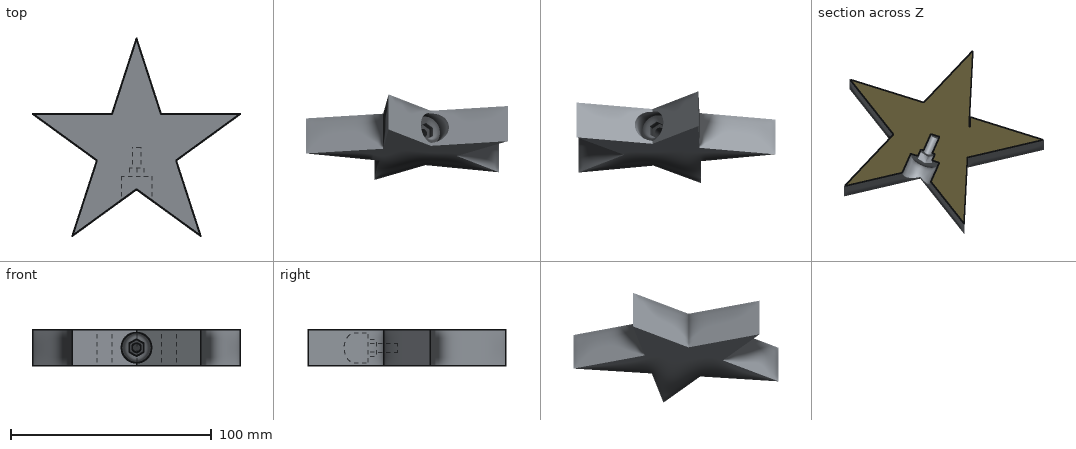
import cadquery as cq
import math

star_width = 103.6
thickness = 18.0
points = 5
tip_radius = star_width / (2 * math.sin(math.radians(72)))
notch_radius = tip_radius * math.sin(math.radians(18)) / math.sin(math.radians(54))

bore_diameter = 15.0
bore_depth = 6.5
hex_across_flats = 7.4
hex_depth = 4.1
pilot_diameter = 4.5
pilot_depth = 10.4

notch_y = -notch_radius
bore_floor_y = notch_y + bore_depth
hex_floor_y = bore_floor_y + hex_depth
pilot_end_y = hex_floor_y + pilot_depth


def star_plate():
    """Star centred on the origin with one tip along +Y."""
    outline = []
    for i in range(2 * points):
        radius = tip_radius if i % 2 == 0 else notch_radius
        angle = math.pi / 2 + i * math.pi / points
        outline.append((radius * math.cos(angle), radius * math.sin(angle)))
    plate = cq.Workplane("XY").polyline(outline).close()
    return plate.extrude(thickness / 2, both=True)


def plane_facing_back(y):
    """Workplane at y, with its normal along +Y and its local x along Z."""
    return cq.Workplane(cq.Plane(origin=(0, y, 0), xDir=(0, 0, 1), normal=(0, 1, 0)))


def bore():
    """Round bore, started at the lower tips so that it clears the notch."""
    start_y = -tip_radius
    return plane_facing_back(start_y).circle(bore_diameter / 2).extrude(bore_floor_y - start_y)


def hex_pocket():
    """Hexagonal pocket with corners at top and bottom."""
    corner_diameter = hex_across_flats / math.cos(math.pi / 6)
    return plane_facing_back(bore_floor_y).polygon(6, corner_diameter).extrude(hex_depth)


def pilot_hole():
    """Blind hole at the bottom of the hexagonal pocket."""
    return plane_facing_back(hex_floor_y).circle(pilot_diameter / 2).extrude(pilot_end_y - hex_floor_y)


result = star_plate().cut(bore()).cut(hex_pocket()).cut(pilot_hole())